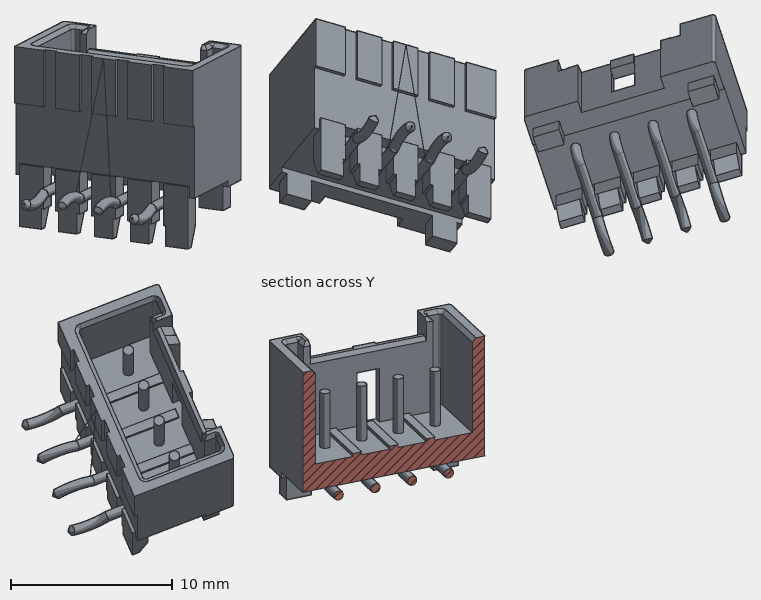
import cadquery as cq
import math


pin_count = 4
pitch = 2.5
pin_dia = 0.65
pin_y = 3.68
pin_top_z = -2.69
tail_z = -8.94
bend_radius = 0.83
tail_kink_y = -0.79
tail_chord = 2.6
tail_bow = 0.35
cone_start = 2.39
cone_length = 0.25
cone_tip_dia = 0.1

length = 12.4
depth = 6.71
front_recess = 0.21
underside_z = -8.25
rail_z = -8.62
rail_front_y = 4.79
foot_back_y = 5.82
back_corner_radius = 0.2

cavity_half_x = 5.33
cavity_front_y = 0.99
cavity_back_y = 6.18
floor_z = -6.45
inner_wall_y = 5.41
inner_wall_half_x = 4.43
cavity_corner_radius = 0.2
lead_in = 0.26
lead_in_angle = 45.0
lead_in_depth = lead_in / math.tan(math.radians(lead_in_angle))
rib_width = 0.6
rib_height = 0.2

notch_half_x = 3.95
notch_z = -1.28
recess_y = 5.93
recess_half_x = 2.68
ramp_split_half_x = 3.31
outer_ramp_angle = 45.0
inner_ramp_angle = 42.0
latch_width = 1.51
latch_back_y = 6.13
window_top_z = -2.78

gap_width = 0.82
pad_width = pitch - gap_width
pad_bottom_z = -3.62
leg_top_z = -7.5
leg_step_z = -10.19
foot_bottom_z = leg_step_z
leg_bottom_z = -11.5
leg_thickness = 1.07
leg_tip_thickness = 0.47
inner_leg_step = 0.2
outer_leg_step = 0.15

leg_count = pin_count + 1
pin_xs = [(i - (pin_count - 1) / 2) * pitch for i in range(pin_count)]
leg_xs = [(i - (leg_count - 1) / 2) * pitch for i in range(leg_count)]
rib_xs = leg_xs[1:-1]


def block(x0, x1, y0, y1, z0, z1):
    """Box between two opposite corners."""
    return cq.Workplane("XY").box(x1 - x0, y1 - y0, z1 - z0, centered=False).translate((x0, y0, z0))


def side_prism(points, x0, x1):
    """Prism along X over a (y, z) outline."""
    return cq.Workplane("YZ").polyline(points).close().extrude(x1 - x0).translate((x0, 0, 0))


def housing_block():
    outline = [
        (0, 0),
        (0, pad_bottom_z),
        (front_recess, pad_bottom_z),
        (front_recess, underside_z),
        (rail_front_y, underside_z),
        (rail_front_y, rail_z),
        (depth, rail_z),
        (depth, 0),
    ]
    solid_block = side_prism(outline, -length / 2, length / 2)
    return solid_block.edges("|Z and >Y").fillet(back_corner_radius)


def cavity():
    """Stepped pocket whose rim flares outward as a lead-in."""
    outline = [
        (-cavity_half_x, cavity_front_y),
        (cavity_half_x, cavity_front_y),
        (cavity_half_x, cavity_back_y),
        (inner_wall_half_x, cavity_back_y),
        (inner_wall_half_x, inner_wall_y),
        (-inner_wall_half_x, inner_wall_y),
        (-inner_wall_half_x, cavity_back_y),
        (-cavity_half_x, cavity_back_y),
    ]
    pocket = cq.Workplane("XY", origin=(0, 0, floor_z)).polyline(outline).close().extrude(-floor_z)
    pocket = pocket.edges("|Z and (<X or >X)").fillet(cavity_corner_radius)
    floor_wires = pocket.faces("<Z").wires().vals()
    flare = cq.Workplane("XY").add(floor_wires).toPending().extrude(lead_in_depth, taper=-lead_in_angle)
    return pocket.union(flare.translate((0, 0, -floor_z - lead_in_depth)))


def floor_rib(x):
    """Low rib across the cavity floor."""
    x0 = x - rib_width / 2
    x1 = x + rib_width / 2
    return block(x0, x1, cavity_front_y, inner_wall_y, floor_z, floor_z + rib_height)


def notch():
    """Opening in the back wall, with the lead-in repeated along its lower edge."""
    bevel = [
        (inner_wall_y, notch_z - lead_in_depth),
        (inner_wall_y + lead_in, notch_z),
        (inner_wall_y, notch_z),
    ]
    opening = block(-notch_half_x, notch_half_x, inner_wall_y, depth, notch_z, 0)
    return opening.union(side_prism(bevel, -notch_half_x, notch_half_x))


def back_recess():
    """Full-height step in the back face, flanked by sloped ramps under the notch."""
    recess = block(-recess_half_x, recess_half_x, recess_y, depth, rail_z, 0)
    ramps = [
        (recess_half_x, ramp_split_half_x, inner_ramp_angle),
        (ramp_split_half_x, notch_half_x, outer_ramp_angle),
    ]
    for inner_x, outer_x, angle in ramps:
        drop = (depth - recess_y) * math.tan(math.radians(angle))
        slope = [(recess_y, notch_z), (depth, notch_z), (depth, notch_z - drop)]
        recess = recess.union(side_prism(slope, inner_x, outer_x))
        recess = recess.union(side_prism(slope, -outer_x, -inner_x))
    return recess


def latch_bump():
    return block(-latch_width / 2, latch_width / 2, recess_y, latch_back_y, window_top_z, notch_z)


def window():
    return block(-latch_width / 2, latch_width / 2, inner_wall_y, depth, floor_z, window_top_z)


def front_gap(x):
    """Groove between neighbouring pads, and the pin slot in line with it between the legs."""
    x0 = x - gap_width / 2
    x1 = x + gap_width / 2
    groove = block(x0, x1, 0, front_recess, pad_bottom_z, 0)
    return groove.union(block(x0, x1, 0, leg_thickness, underside_z, leg_top_z))


def leg(x, left_step, right_step):
    """Tapered board leg, narrowed below its shoulder by a step on either side."""
    x0 = x - pad_width / 2
    x1 = x + pad_width / 2
    upper = block(x0, x1, 0, leg_thickness, leg_step_z, leg_top_z)
    tip = [
        (0, leg_step_z),
        (leg_thickness, leg_step_z),
        (leg_tip_thickness, leg_bottom_z),
        (0, leg_bottom_z),
    ]
    return upper.union(side_prism(tip, x0 + left_step, x1 - right_step))


def rear_foot(x):
    return block(x - pad_width / 2, x + pad_width / 2, rail_front_y, foot_back_y, foot_bottom_z, rail_z)


def bent_shank():
    """Upright pin bent forward to horizontal, running one diameter past the kink."""
    bend_y = pin_y - bend_radius
    bend_z = tail_z + bend_radius
    bend_reach = bend_radius * math.sin(math.radians(45))
    path = (
        cq.Workplane("YZ")
        .moveTo(pin_y, pin_top_z)
        .lineTo(pin_y, bend_z)
        .threePointArc((bend_y + bend_reach, bend_z - bend_reach), (bend_y, tail_z))
        .lineTo(tail_kink_y - pin_dia, tail_z)
    )
    return cq.Workplane("XY", origin=(0, pin_y, pin_top_z)).circle(pin_dia / 2).sweep(path)


def pin(x, bow_direction):
    """Pin with its tail bowed up (+1) or down (-1), mitred at the kink and ending in a blunt cone."""
    bow_radius = (tail_chord**2 / 4 + tail_bow**2) / (2 * tail_bow)

    def bow_point(run):
        mid_run = run - tail_chord / 2
        rise = math.sqrt(bow_radius**2 - mid_run**2) - (bow_radius - tail_bow)
        return cq.Vector(0, tail_kink_y - run, tail_z + bow_direction * rise)

    def heading(run):
        angle = math.asin((tail_chord / 2 - run) / bow_radius)
        return cq.Vector(0, -math.cos(angle), bow_direction * math.sin(angle))

    early_run = -pin_dia / 2
    start = bow_point(early_run)
    end = bow_point(cone_start)
    bow = cq.Workplane(cq.Edge.makeThreePointArc(start, bow_point(tail_chord / 2), end))
    section = cq.Plane(origin=start, xDir=(1, 0, 0), normal=heading(early_run))
    tail = cq.Workplane(section).circle(pin_dia / 2).sweep(bow)

    mitre = cq.Plane(origin=bow_point(0), xDir=(1, 0, 0), normal=heading(0) + cq.Vector(0, -1, 0))
    ahead_size = 2 * tail_chord
    ahead = cq.Workplane(mitre).box(ahead_size, ahead_size, ahead_size, centered=(True, True, False))
    shank = bent_shank().cut(ahead)
    tail = tail.intersect(ahead)

    cone = cq.Solid.makeCone(pin_dia / 2, cone_tip_dia / 2, cone_length, end, heading(cone_start))
    return shank.union(tail).union(cq.Workplane(cone)).translate((x, 0, 0))


result = housing_block().cut(cavity()).cut(notch()).cut(back_recess())
result = result.union(latch_bump()).cut(window())

for rib_x in rib_xs:
    result = result.union(floor_rib(rib_x))

for leg_index, leg_x in enumerate(leg_xs):
    is_first = leg_index == 0
    is_last = leg_index == leg_count - 1
    end_leg = is_first or is_last
    step = outer_leg_step if end_leg else inner_leg_step
    result = result.union(leg(leg_x, 0 if is_first else step, 0 if is_last else step))
    if end_leg:
        result = result.union(rear_foot(leg_x))

for pin_index, pin_x in enumerate(pin_xs):
    end_pin = pin_index in (0, pin_count - 1)
    bow_direction = -1 if end_pin else 1
    result = result.cut(front_gap(pin_x)).union(pin(pin_x, bow_direction))